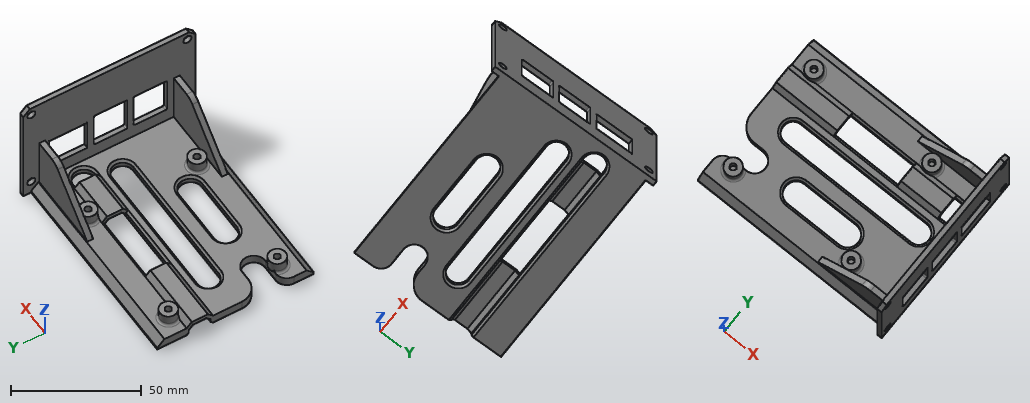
import cadquery as cq
import math

LENGTH = 93.4
FLANGE_WIDTH = 77.6
FLANGE_HEIGHT = 50.8
FLANGE_THICKNESS = 2.2
FLANGE_CORNER = 3.0
PLATE_THICKNESS = 4.2
PLATE_WIDTH = 70.5
EDGE_BEVEL_RUN = 3.3
EDGE_LIP = PLATE_THICKNESS - EDGE_BEVEL_RUN
EDGE_CHAMFER = 1.0

PLATE_LENGTH = LENGTH - FLANGE_THICKNESS

ARC_MID = 1 - math.sqrt(0.5)

SCREW_DIAMETER = 3.6
SCREW_SPAN_Y = 70.2
SCREW_LOW_Z = 6.5
SCREW_HIGH_Z = 46.9

WINDOW_SILL_Z = 10.65
WINDOW_LONG = 17.2
WINDOW_SHORT = 15.0
WINDOW_RADIUS = 0.75
WINDOWS = [
    (18.5, WINDOW_LONG, WINDOW_SHORT, 0),
    (-0.6, WINDOW_SHORT, WINDOW_LONG, WINDOW_RADIUS),
    (-18.4, WINDOW_SHORT, WINDOW_LONG, WINDOW_RADIUS),
]

GUSSET_START_X = 56.3
GUSSET_TOP_Z = 27.5
GUSSET_THICKNESS = 2.7
GUSSET_OUTER_Y = 31.7
GUSSET_RADIUS = 6.0

STANDOFF_DIAMETER = 7.6
STANDOFF_BORE = 2.8
STANDOFF_TOP_Z = 9.15
STANDOFF_FILLET = 1.0
STANDOFF_X = 8.4
STANDOFF_Y = -24.0
STANDOFF_PITCH_X = 58.0
STANDOFF_PITCH_Y = 49.0

BRIDGED_SLOT_Y = 16.1
BRIDGED_SLOT_END = 88.6
BRIDGED_SLOT_WIDTH = 9.8
MIDDLE_SLOT = (12.3, 83.7, 1.7, 9.6)
LOWER_SLOT_Y = -16.0
LOWER_SLOT_WIDTH = 10.4
LOWER_SLOT = (27.7, 63.3, LOWER_SLOT_Y, LOWER_SLOT_WIDTH)

NOTCH_END_X = 17.65
NOTCH_UPPER_RADIUS = 8.0
NOTCH_LOWER_RADIUS = 5.0

BRIDGES = [(0, 30.1), (61.3, 81.3)]
BRIDGE_TOP_Z = 6.5
BRIDGE_BASE_WIDTH = BRIDGED_SLOT_WIDTH + 2 * EDGE_CHAMFER
BRIDGE_THICKNESS = 2.1
TUNNEL_TOP_WIDTH = 6.0


def make_plate():
    """Flat base with bevelled long edges standing on a thin lip."""
    half = PLATE_WIDTH / 2
    profile = [
        (-half, 0),
        (half, 0),
        (half, EDGE_LIP),
        (half - EDGE_BEVEL_RUN, PLATE_THICKNESS),
        (-half + EDGE_BEVEL_RUN, PLATE_THICKNESS),
        (-half, EDGE_LIP),
    ]
    return cq.Workplane("YZ").polyline(profile).close().extrude(PLATE_LENGTH)


def slot_layer(start_x, end_x, centre_y, width, z, height, taper=0):
    """Rounded slot prism from z upwards; a positive taper narrows it with height."""
    return (
        cq.Workplane("XY", origin=((start_x + end_x) / 2, centre_y, z))
        .slot2D(end_x - start_x, width)
        .extrude(height, taper=taper)
    )


def slot_cutter(start_x, end_x, centre_y, width):
    """Through slot with a 45 degree chamfer at the top and bottom rims."""
    wide = (start_x - EDGE_CHAMFER, end_x + EDGE_CHAMFER, centre_y, width + 2 * EDGE_CHAMFER)
    top_z = PLATE_THICKNESS - EDGE_CHAMFER
    cutter = slot_layer(start_x, end_x, centre_y, width, 0, PLATE_THICKNESS)
    cutter = cutter.union(slot_layer(*wide, 0, EDGE_CHAMFER, taper=45))
    return cutter.union(slot_layer(start_x, end_x, centre_y, width, top_z, EDGE_CHAMFER, taper=-45))


def notch_cutter():
    """Round-ended notch whose mouth flares into the front edge with two fillets."""
    radius = LOWER_SLOT_WIDTH / 2
    upper_y = LOWER_SLOT_Y + radius
    lower_y = LOWER_SLOT_Y - radius
    upper_r = NOTCH_UPPER_RADIUS
    lower_r = NOTCH_LOWER_RADIUS
    return (
        cq.Workplane("XY")
        .moveTo(0, upper_y + upper_r)
        .threePointArc((ARC_MID * upper_r, upper_y + ARC_MID * upper_r), (upper_r, upper_y))
        .lineTo(NOTCH_END_X - radius, upper_y)
        .threePointArc((NOTCH_END_X, LOWER_SLOT_Y), (NOTCH_END_X - radius, lower_y))
        .lineTo(lower_r, lower_y)
        .threePointArc((ARC_MID * lower_r, lower_y - ARC_MID * lower_r), (0, lower_y - lower_r))
        .close()
        .extrude(STANDOFF_TOP_Z)
    )


def make_bridge(start_x, end_x):
    """Trapezoidal arch that spans the bridged slot and leaves a tunnel below it."""
    drop = BRIDGE_TOP_Z - PLATE_THICKNESS
    wall = BRIDGED_SLOT_WIDTH / 2
    base = BRIDGE_BASE_WIDTH / 2
    top = base - drop
    tunnel_top = TUNNEL_TOP_WIDTH / 2
    tunnel_z = BRIDGE_TOP_Z - BRIDGE_THICKNESS
    foot_z = tunnel_z - (wall - tunnel_top)
    right_side = [
        (tunnel_top, tunnel_z),
        (wall, foot_z),
        (wall, PLATE_THICKNESS - EDGE_CHAMFER),
        (base, PLATE_THICKNESS),
        (top, BRIDGE_TOP_Z),
    ]
    left_side = [(-y, z) for y, z in reversed(right_side)]
    return (
        cq.Workplane("YZ", origin=(start_x, BRIDGED_SLOT_Y, 0))
        .polyline(right_side + left_side)
        .close()
        .extrude(end_x - start_x)
    )


def make_standoff_foot(x, y):
    """Concave fillet ring around the base of a standoff."""
    radius = STANDOFF_DIAMETER / 2
    foot = radius + STANDOFF_FILLET
    bend = STANDOFF_FILLET * ARC_MID
    return (
        cq.Workplane("XZ", origin=(x, y, PLATE_THICKNESS))
        .lineTo(foot, 0)
        .threePointArc((radius + bend, bend), (radius, STANDOFF_FILLET))
        .lineTo(0, STANDOFF_FILLET)
        .close()
        .revolve(360, (0, 0), (0, 1))
    )


def make_cylinder(x, y, diameter):
    """Vertical cylinder from the top of the plate to the top of a standoff."""
    height = STANDOFF_TOP_Z - PLATE_THICKNESS
    return cq.Workplane("XY", origin=(x, y, PLATE_THICKNESS)).circle(diameter / 2).extrude(height)


def make_flange():
    """Upright end flange with clipped top corners, screw holes and connector windows."""
    flange = (
        cq.Workplane("XY")
        .box(FLANGE_THICKNESS, FLANGE_WIDTH, FLANGE_HEIGHT, centered=(False, True, False))
        .translate((PLATE_LENGTH, 0, 0))
        .edges("|X and >Z")
        .chamfer(FLANGE_CORNER)
    )
    half_span = SCREW_SPAN_Y / 2
    screws = [(y, z) for y in (-half_span, half_span) for z in (SCREW_LOW_Z, SCREW_HIGH_Z)]
    face = cq.Workplane("YZ", origin=(PLATE_LENGTH, 0, 0))
    flange = flange.cut(face.pushPoints(screws).circle(SCREW_DIAMETER / 2).extrude(FLANGE_THICKNESS))
    for centre_y, width, height, radius in WINDOWS:
        window = face.center(centre_y, WINDOW_SILL_Z + height / 2).rect(width, height)
        window = window.extrude(FLANGE_THICKNESS)
        if radius > 0:
            window = window.edges("|X").fillet(radius)
        flange = flange.cut(window)
    return flange


def make_gusset(low_side_y):
    """Gusset between plate and flange, occupying one thickness in +Y from low_side_y."""
    rise = GUSSET_TOP_Z - PLATE_THICKNESS
    return (
        cq.Workplane("XZ", origin=(0, low_side_y, 0))
        .moveTo(GUSSET_START_X, PLATE_THICKNESS)
        .lineTo(PLATE_LENGTH, PLATE_THICKNESS)
        .lineTo(PLATE_LENGTH, GUSSET_TOP_Z)
        .lineTo(GUSSET_START_X + rise, GUSSET_TOP_Z)
        .close()
        .extrude(-GUSSET_THICKNESS)
        .edges("|Y")
        .edges(">Z")
        .edges("<X")
        .fillet(GUSSET_RADIUS)
    )


standoffs = [
    (STANDOFF_X + column * STANDOFF_PITCH_X, STANDOFF_Y + row * STANDOFF_PITCH_Y)
    for column in (0, 1)
    for row in (0, 1)
]

result = make_plate()
for x, y in standoffs:
    result = result.union(make_standoff_foot(x, y))
result = result.cut(notch_cutter())

bridged_slot = (-BRIDGED_SLOT_WIDTH, BRIDGED_SLOT_END, BRIDGED_SLOT_Y, BRIDGED_SLOT_WIDTH)
for slot in (bridged_slot, MIDDLE_SLOT, LOWER_SLOT):
    result = result.cut(slot_cutter(*slot))
for start_x, end_x in BRIDGES:
    result = result.union(make_bridge(start_x, end_x))

result = result.union(make_flange())
for side_y in (-GUSSET_OUTER_Y, GUSSET_OUTER_Y - GUSSET_THICKNESS):
    result = result.union(make_gusset(side_y))

for x, y in standoffs:
    result = result.union(make_cylinder(x, y, STANDOFF_DIAMETER))
for x, y in standoffs:
    result = result.cut(make_cylinder(x, y, STANDOFF_BORE))